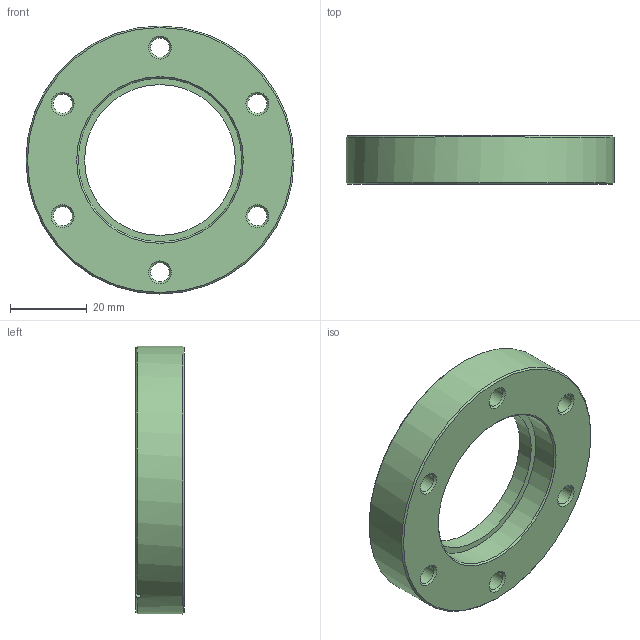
import cadquery as cq
import math

outer_diameter = 70.0
thickness = 12.7
rim_chamfer = 0.4
front_y = -thickness / 2
back_y = thickness / 2

socket_diameter = 42.7
socket_depth = 7.1
socket_chamfer = 0.4
bore_diameter = 39.4
recess_diameter = 48.3
recess_depth = 1.3

bolt_count = 6
bolt_spacing = 360.0 / bolt_count
bolt_circle_diameter = 58.7
bolt_hole_diameter = 5.0
bolt_hole_chamfer = 0.5
first_bolt_angle = 90.0

groove_width = 2.0
groove_depth = recess_depth
groove_gap_count = 2.5
groove_angle = first_bolt_angle + groove_gap_count * bolt_spacing


def disc(diameter, y_start, length):
    """Cylinder on the Y axis, running from y_start toward +Y."""
    return cq.Workplane("XZ", origin=(0, y_start, 0)).circle(diameter / 2).extrude(-length)


def front_countersink(hole_diameter, chamfer):
    """45-degree cone that chamfers the mouth of a hole in the front face."""
    return cq.Workplane(
        cq.Solid.makeCone(
            hole_diameter / 2 + chamfer,
            hole_diameter / 2,
            chamfer,
            pnt=cq.Vector(0, front_y, 0),
            dir=cq.Vector(0, 1, 0),
        )
    )


def ring_body():
    body = disc(outer_diameter, front_y, thickness).edges("%CIRCLE").chamfer(rim_chamfer)
    body = body.cut(disc(bore_diameter, front_y, thickness))
    body = body.cut(disc(socket_diameter, front_y, socket_depth))
    body = body.cut(front_countersink(socket_diameter, socket_chamfer))
    return body.cut(disc(recess_diameter, back_y - recess_depth, recess_depth))


def bolt_hole(angle):
    """Through hole with a chamfered front mouth, at an angle from +X toward +Z."""
    radius = bolt_circle_diameter / 2
    x = radius * math.cos(math.radians(angle))
    z = radius * math.sin(math.radians(angle))
    hole = disc(bolt_hole_diameter, front_y, thickness)
    hole = hole.union(front_countersink(bolt_hole_diameter, bolt_hole_chamfer))
    return hole.translate((x, 0, z))


def leak_groove():
    """Slot from the gasket recess out through the rim."""
    inner_radius = recess_diameter / 2 - groove_width
    length = outer_diameter / 2 + groove_width - inner_radius
    groove = cq.Workplane("XY").box(length, groove_depth, groove_width, centered=(False, False, True))
    groove = groove.translate((inner_radius, back_y - groove_depth, 0))
    return groove.rotate((0, 0, 0), (0, 1, 0), -groove_angle)


result = ring_body()
for index in range(bolt_count):
    result = result.cut(bolt_hole(first_bolt_angle + index * bolt_spacing))
result = result.cut(leak_groove())